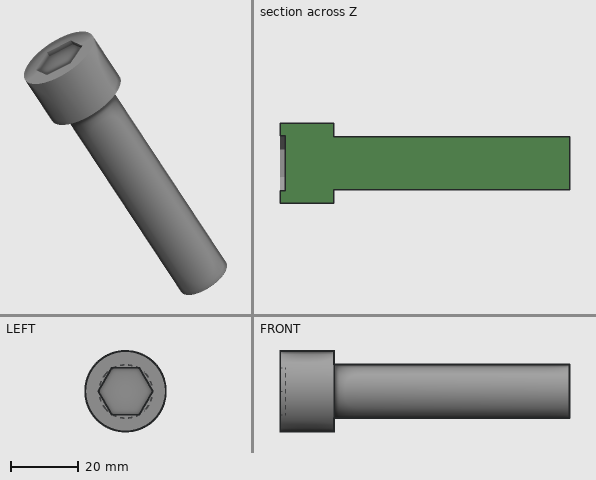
import cadquery as cq
import math

total_length = 86.0
shank_diameter = 16.0
head_diameter = 1.5 * shank_diameter
head_height = shank_diameter
tip_chamfer = 0.2
socket_across_flats = 14.0
socket_across_corners = socket_across_flats / math.cos(math.radians(30))
socket_depth = 1.5

head = cq.Workplane("YZ").circle(head_diameter / 2).extrude(head_height)

shank = (
    cq.Workplane("YZ")
    .circle(shank_diameter / 2)
    .extrude(total_length)
    .faces(">X")
    .chamfer(tip_chamfer)
)

socket = cq.Workplane("YZ").polygon(6, socket_across_corners).extrude(socket_depth)

result = head.union(shank).cut(socket)